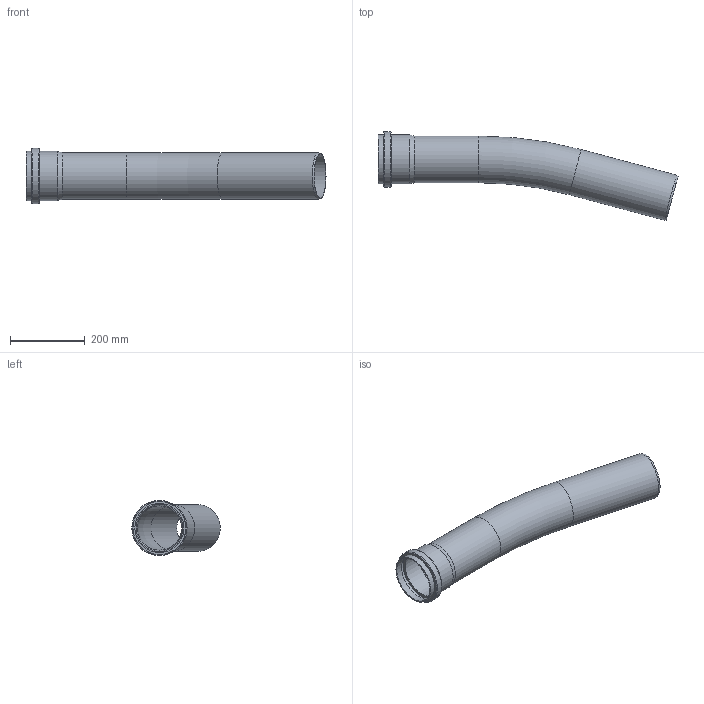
import cadquery as cq
import math

pipe_outer_diameter = 125.0
wall = 3.1

bend_start = 269.0
bend_radius = 1000.0
bend_angle = 15.0
spigot_length = 269.0

chamfer_length = 5.0
chamfer_angle = 15.0

socket_outer_diameter = 131.6
socket_length = 85.0
taper_length = 12.0

bead_outer_diameter = 148.0
bead_start = 15.0
bead_width = 20.0
bead_fillet = 2.0

pipe_outer_radius = pipe_outer_diameter / 2
pipe_bore_radius = pipe_outer_radius - wall
socket_outer_radius = socket_outer_diameter / 2
bead_outer_radius = bead_outer_diameter / 2
taper_end = socket_length + taper_length
bead_end = bead_start + bead_width
chamfer_depth = chamfer_length * math.tan(math.radians(chamfer_angle))


def revolve_about_x(points):
    """Solid of revolution about the X axis from (x, radius) points."""
    profile = cq.Workplane("XY").polyline(points).close()
    return profile.revolve(360, (0, 0, 0), (1, 0, 0))


def disc_along_x(start, end, radius):
    """Cylinder on the X axis between two stations."""
    return cq.Workplane("YZ").workplane(offset=start).circle(radius).extrude(end - start)


def inlet(inset):
    """Socket, taper and straight pipe up to the bend, with radii reduced by inset."""
    socket_radius = socket_outer_radius - inset
    pipe_radius = pipe_outer_radius - inset
    return revolve_about_x([
        (0, 0),
        (0, socket_radius),
        (socket_length, socket_radius),
        (taper_end, pipe_radius),
        (bend_start, pipe_radius),
        (bend_start, 0),
    ])


def bead_outside():
    """Outer body of the seal bead, with both rims rounded."""
    return disc_along_x(bead_start, bead_end, bead_outer_radius).edges().fillet(bead_fillet)


def bead_groove():
    """Seal groove inside the bead, one wall thickness under its surface."""
    return disc_along_x(bead_start + wall, bead_end - wall, bead_outer_radius - wall)


def bend(radius):
    """Solid bend swept along the centreline arc."""
    angle = math.radians(bend_angle)
    arc_end_x = bend_start + bend_radius * math.sin(angle)
    arc_end_y = -bend_radius * (1 - math.cos(angle))
    path = cq.Workplane("XY").moveTo(bend_start, 0).radiusArc((arc_end_x, arc_end_y), bend_radius)
    return cq.Workplane("YZ").workplane(offset=bend_start).circle(radius).sweep(path)


def turn_onto_bend_end(body):
    """Turn a body that starts at the bend start about the bend axis onto the bend end."""
    axis_start = (bend_start, -bend_radius, 0)
    axis_end = (bend_start, -bend_radius, 1)
    return body.rotate(axis_start, axis_end, -bend_angle)


def spigot_outside():
    """Straight outlet with a chamfered end."""
    spigot_end = bend_start + spigot_length
    straight = revolve_about_x([
        (bend_start, 0),
        (bend_start, pipe_outer_radius),
        (spigot_end - chamfer_length, pipe_outer_radius),
        (spigot_end, pipe_outer_radius - chamfer_depth),
        (spigot_end, 0),
    ])
    return turn_onto_bend_end(straight)


def spigot_bore():
    """Straight bore through the outlet."""
    return turn_onto_bend_end(disc_along_x(bend_start, bend_start + spigot_length, pipe_bore_radius))


outside = inlet(0).union(bead_outside()).union(bend(pipe_outer_radius)).union(spigot_outside())
inside = inlet(wall).union(bead_groove()).union(bend(pipe_bore_radius)).union(spigot_bore())
result = outside.cut(inside)